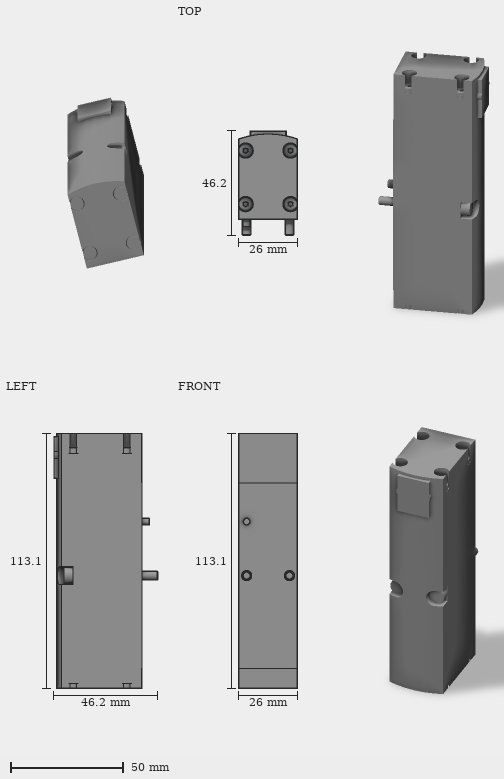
import cadquery as cq
import math

width = 26.0
length = 113.1
crown_y = 37.9
crown_radius = 40.0
bottom_cap_length = 8.8
top_cap_length = 21.9
cap_setback = 0.1

plate_back_y = 39.1
plate_width = 15.3
plate_bottom_z = 93.2
plate_top_z = 111.6
plate_ear_diameter = 6.0
plate_ear_x = 5.1
plate_ear_z = 103.5

screw_x = 9.5
screw_diameter = 4.0
screw_hole_diameter = 4.5
screw_protrusion = 7.1
screw_tip_chamfer = 0.5
screw_head_diameter = 7.0
screw_head_height = 4.1
screw_slot_width = 7.9
screw_slot_floor_y = 30.7
pin_z = 74.0
pin_diameter = 3.0
pin_protrusion = 3.2
pin_root_y = 1.1
pin_tip_chamfer = 0.1

cap_screw_x = 10.0
cap_screw_ys = (6.8, 30.5)
cap_hole_diameter = 6.8
cap_head_diameter = 6.0
top_hole_depth = 8.8
top_head_height = 2.5
bottom_hole_depth = 2.1
socket_tip_diameter = 2.5
socket_root_diameter = 1.8
socket_lobes = 6
socket_scallop_diameter = 0.8
socket_depth = 1.1

half_width = width / 2
crown_centre_y = crown_y - crown_radius
shoulder_y = crown_centre_y + math.sqrt(crown_radius**2 - half_width**2)
top_cap_z = length - top_cap_length
screw_z = (bottom_cap_length + top_cap_z) / 2
cap_screw_places = [(x_side * cap_screw_x, y) for x_side in (-1, 1) for y in cap_screw_ys]


def domed_block(front_y, bottom_z, top_z):
    """Block section with a flat front and an arched back."""
    return (
        cq.Workplane("XY", origin=(0, 0, bottom_z))
        .moveTo(-half_width, front_y)
        .lineTo(half_width, front_y)
        .lineTo(half_width, shoulder_y)
        .threePointArc((0, crown_y), (-half_width, shoulder_y))
        .close()
        .extrude(top_z - bottom_z)
    )


def cylinder_y(diameter, x, z, start_y, end_y):
    """Cylinder along Y."""
    return (
        cq.Workplane("XZ", origin=(x, end_y, z))
        .circle(diameter / 2)
        .extrude(end_y - start_y)
    )


def cylinders_z(diameter, bottom_z, height):
    """One upright cylinder at every cap screw place."""
    return (
        cq.Workplane("XY", origin=(0, 0, bottom_z))
        .pushPoints(cap_screw_places)
        .circle(diameter / 2)
        .extrude(height)
    )


def name_plate():
    """Rectangular plate with a rounded ear bulging from each side."""
    plate = cq.Workplane("XY").box(
        plate_width,
        plate_back_y - shoulder_y,
        plate_top_z - plate_bottom_z,
        centered=(True, False, False),
    ).translate((0, shoulder_y, plate_bottom_z))
    for x_side in (-1, 1):
        ear_x = x_side * plate_ear_x
        plate = plate.union(cylinder_y(plate_ear_diameter, ear_x, plate_ear_z, shoulder_y, plate_back_y))
    return plate


def screw_slot(x_side):
    """Round-ended recess for a screw head, open to the side and the back."""
    slot_depth = plate_back_y - screw_slot_floor_y
    x = x_side * screw_x
    mouth = cq.Workplane("XY").box(
        half_width, slot_depth, screw_slot_width, centered=(True, False, True)
    ).translate((x + x_side * half_width / 2, screw_slot_floor_y, screw_z))
    return cylinder_y(screw_slot_width, x, screw_z, screw_slot_floor_y, plate_back_y).union(mouth)


def peg(diameter, x, z, root_y, protrusion, chamfer):
    """Peg from inside the block out through the mounting face, with a chamfered tip."""
    return cylinder_y(diameter, x, z, -protrusion, root_y).faces("<Y").chamfer(chamfer)


def lobed_sockets():
    """Six-lobed driver recess in the top of every top cap screw."""
    scallop_ring_radius = (socket_root_diameter + socket_scallop_diameter) / 2
    first_scallop_angle = 90 + 180 / socket_lobes
    scallops = (
        cq.Workplane("XY")
        .polarArray(scallop_ring_radius, first_scallop_angle, 360, socket_lobes)
        .circle(socket_scallop_diameter / 2)
        .extrude(socket_depth)
    )
    socket = cq.Workplane("XY").circle(socket_tip_diameter / 2).extrude(socket_depth).cut(scallops)
    socket_floor_z = length - top_hole_depth + top_head_height - socket_depth
    return [socket.translate((x, y, socket_floor_z)) for x, y in cap_screw_places]


result = (
    domed_block(0, bottom_cap_length, top_cap_z)
    .union(domed_block(cap_setback, 0, bottom_cap_length))
    .union(domed_block(cap_setback, top_cap_z, length))
    .union(name_plate())
)

head_top_y = screw_slot_floor_y + screw_head_height
for x_side in (-1, 1):
    x = x_side * screw_x
    clearance = cylinder_y(screw_hole_diameter, x, screw_z, 0, screw_slot_floor_y)
    head = cylinder_y(screw_head_diameter, x, screw_z, screw_slot_floor_y, head_top_y)
    shank = peg(screw_diameter, x, screw_z, screw_slot_floor_y, screw_protrusion, screw_tip_chamfer)
    result = result.cut(screw_slot(x_side)).cut(clearance).union(head.union(shank))

result = result.union(peg(pin_diameter, -screw_x, pin_z, pin_root_y, pin_protrusion, pin_tip_chamfer))

top_floor_z = length - top_hole_depth
result = (
    result.cut(cylinders_z(cap_hole_diameter, top_floor_z, top_hole_depth))
    .union(cylinders_z(cap_head_diameter, top_floor_z, top_head_height))
    .cut(cylinders_z(cap_hole_diameter, 0, bottom_hole_depth))
    .union(cylinders_z(cap_head_diameter, 0, bottom_hole_depth))
)
for socket in lobed_sockets():
    result = result.cut(socket)